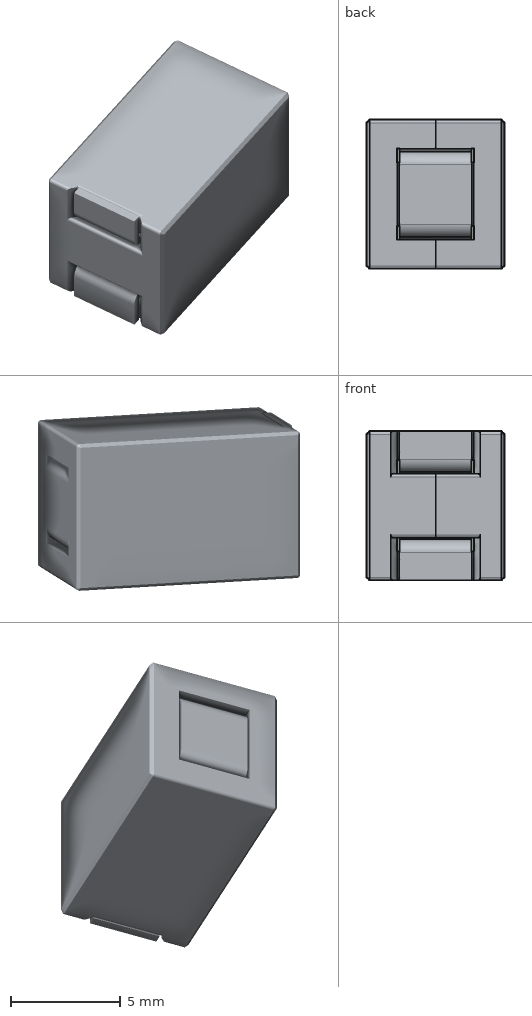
import cadquery as cq
import math

overall_length = 10.75
core_width = 6.32
core_height = 6.85
pad_standoff = 0.04
core_length = overall_length - pad_standoff
edge_radius = 0.15
rim_chamfer = 0.99 * edge_radius

strip_width = 3.3
strip_thickness = 0.4
bend_outer_radius = 0.58
bend_inner_radius = bend_outer_radius - strip_thickness
leg_to_post_gap = 0.08

passage_width = 3.52
mouth_width = 4.12
passage_height = 0.61
mouth_radius = 0.38
post_height = 2.95

top = core_height / 2
post_top = post_height / 2
passage_top = post_top + passage_height
leg_inner = post_top + leg_to_post_gap
leg_outer = leg_inner + strip_thickness
pad_front = -pad_standoff
pad_back = pad_front + strip_thickness
bridge_back = core_length
bridge_front = bridge_back - strip_thickness
post_back = bridge_front - leg_to_post_gap
flare_depth = (mouth_width - passage_width) / 2
cut_margin = 0.54
half_diagonal = math.sqrt(0.5)


def arc_middle(center, radius, y_side, z_side):
    """Point halfway round a quarter arc, towards the given Y and Z signs."""
    reach = radius * half_diagonal
    return (center[0] + y_side * reach, center[1] + z_side * reach)


def core_envelope():
    """Core block with rounded edges along X and a chamfered rim around both X faces."""
    block = (
        cq.Workplane("XY")
        .box(core_width, core_length, core_height)
        .translate((0, core_length / 2, 0))
    )
    rounded = block.edges("|X").fillet(edge_radius)
    return rounded.faces("<X or >X").chamfer(rim_chamfer)


def pad_recess():
    """Space above the post at the front, rounded into the top face and the passage."""
    rim_center = (pad_back + edge_radius, top - edge_radius)
    mouth_center = (pad_back + mouth_radius, passage_top + mouth_radius)
    profile = (
        cq.Workplane("YZ")
        .moveTo(-cut_margin, post_top)
        .lineTo(pad_back + mouth_radius, post_top)
        .lineTo(pad_back + mouth_radius, passage_top)
        .threePointArc(
            arc_middle(mouth_center, mouth_radius, -1, -1),
            (pad_back, passage_top + mouth_radius),
        )
        .lineTo(pad_back, top - edge_radius)
        .threePointArc(arc_middle(rim_center, edge_radius, -1, 1), (pad_back + edge_radius, top))
        .lineTo(pad_back + edge_radius, top + cut_margin)
        .lineTo(-cut_margin, top + cut_margin)
        .close()
    )
    return profile.extrude(mouth_width / 2, both=True)


def full_passage():
    """Passage for the hairpin through the core, around the rounded centre post."""
    clearance_length = core_length + 2 * cut_margin
    clearance = (
        cq.Workplane("XY")
        .box(mouth_width, clearance_length, 2 * passage_top)
        .translate((0, core_length / 2, 0))
    )
    post = (
        cq.Workplane("XY")
        .box(mouth_width, post_back, post_height)
        .translate((0, post_back / 2, 0))
        .edges("|X")
        .fillet(edge_radius)
    )
    upper_recess = pad_recess()
    lower_recess = upper_recess.mirror("XY")
    return clearance.cut(post).union(upper_recess).union(lower_recess)


def passage_plan():
    """Plan outline that limits the passage width and flares it at the front face."""
    inner = passage_width / 2
    outer = mouth_width / 2
    outline = (
        cq.Workplane("XY")
        .polyline([
            (-outer, 0),
            (outer, 0),
            (inner, flare_depth),
            (inner, core_length),
            (-inner, core_length),
            (-inner, flare_depth),
        ])
        .close()
    )
    return outline.extrude(top, both=True)


def make_core_half(side):
    """One half of the core, on the given side of the X = 0 parting plane."""
    half_space = (
        cq.Workplane("XY")
        .box(core_width / 2, core_length, core_height)
        .translate((side * core_width / 4, core_length / 2, 0))
    )
    passage = full_passage().intersect(passage_plan())
    return core_envelope().intersect(half_space).cut(passage)


def make_conductor():
    """Hairpin strip: two legs, a rear bridge and pads bent outward at the front."""
    bend_y = pad_front + bend_outer_radius
    bend_z = leg_inner + bend_outer_radius
    turn_y = bridge_back - bend_outer_radius
    turn_z = leg_outer - bend_outer_radius
    bend_center = (bend_y, bend_z)
    turn_center = (turn_y, turn_z)
    upper_half = (
        cq.Workplane("YZ")
        .moveTo(pad_front, top)
        .lineTo(pad_front, bend_z)
        .threePointArc(arc_middle(bend_center, bend_outer_radius, -1, -1), (bend_y, leg_inner))
        .lineTo(turn_y, leg_inner)
        .threePointArc(arc_middle(turn_center, bend_inner_radius, 1, 1), (bridge_front, turn_z))
        .lineTo(bridge_front, 0)
        .lineTo(bridge_back, 0)
        .lineTo(bridge_back, turn_z)
        .threePointArc(arc_middle(turn_center, bend_outer_radius, 1, 1), (turn_y, leg_outer))
        .lineTo(bend_y, leg_outer)
        .threePointArc(arc_middle(bend_center, bend_inner_radius, -1, -1), (pad_back, bend_z))
        .lineTo(pad_back, top)
        .close()
        .extrude(strip_width / 2, both=True)
    )
    return upper_half.union(upper_half.mirror("XY"), clean=True)


core_halves = [make_core_half(side) for side in (-1, 1)]
conductor = make_conductor()

result = cq.Compound.makeCompound([*[half.val() for half in core_halves], conductor.val()])